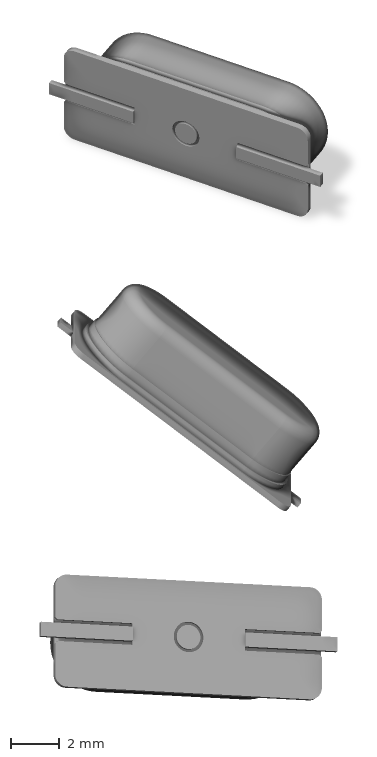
import cadquery as cq

plate_length = 11.43
plate_height = 4.7
plate_thickness = 0.25
plate_corner_radius = 0.51
plate_front_y = -plate_thickness

can_straight_length = 6.35
can_radius = 1.98
can_back_y = 2.91
can_edge_radius = 0.51
flange_radius = 2.16
flange_thickness = 0.25
collar_radius = 2.03
collar_back_y = 0.65

lead_tip_x = 6.35
lead_inner_x = 2.41
lead_width = 0.6
lead_thickness = 0.23
lead_proud = 0.1
recess_width = 0.9
recess_mouth_chamfer = 0.1
recess_depth = lead_thickness - lead_proud
recess_floor_y = plate_front_y + recess_depth

groove_outer_diameter = 1.27
groove_inner_diameter = 1.02


def stadium(radius, back_y):
    """Stadium-shaped block reaching from the plate back face to back_y."""
    return (
        cq.Workplane("XZ")
        .slot2D(can_straight_length + 2 * radius, 2 * radius)
        .extrude(-back_y)
    )


def make_can():
    body = stadium(can_radius, can_back_y).faces(">Y").edges().fillet(can_edge_radius)
    collar = stadium(collar_radius, collar_back_y)
    flange = stadium(flange_radius, flange_thickness)
    return body.union(collar).union(flange)


def make_plate():
    plate = (
        cq.Workplane("XZ")
        .rect(plate_length, plate_height)
        .extrude(plate_thickness)
        .edges("|Y")
        .fillet(plate_corner_radius)
    )
    groove = (
        cq.Workplane("XZ", origin=(0, plate_front_y, 0))
        .circle(groove_outer_diameter / 2)
        .circle(groove_inner_diameter / 2)
        .extrude(-recess_depth)
    )
    return plate.cut(groove)


def make_recess():
    """Recess for the +X lead, with its mouth corners chamfered at the plate end."""
    end_x = plate_length / 2
    half_width = recess_width / 2
    flare_x = end_x - recess_mouth_chamfer
    flare_z = half_width + recess_mouth_chamfer
    return (
        cq.Workplane("XZ", origin=(0, plate_front_y, 0))
        .moveTo(lead_inner_x, -half_width)
        .lineTo(flare_x, -half_width)
        .lineTo(end_x, -flare_z)
        .lineTo(end_x, flare_z)
        .lineTo(flare_x, half_width)
        .lineTo(lead_inner_x, half_width)
        .close()
        .extrude(-recess_depth)
    )


def make_lead():
    """Flat +X lead resting on the recess floor and reaching past the plate end."""
    return (
        cq.Workplane("XY")
        .box(lead_tip_x - lead_inner_x, lead_thickness, lead_width)
        .translate(((lead_inner_x + lead_tip_x) / 2, recess_floor_y - lead_thickness / 2, 0))
    )


recess = make_recess()
lead = make_lead()
plate = make_plate().cut(recess).cut(recess.mirror("YZ"))
result = plate.union(make_can()).union(lead).union(lead.mirror("YZ"))